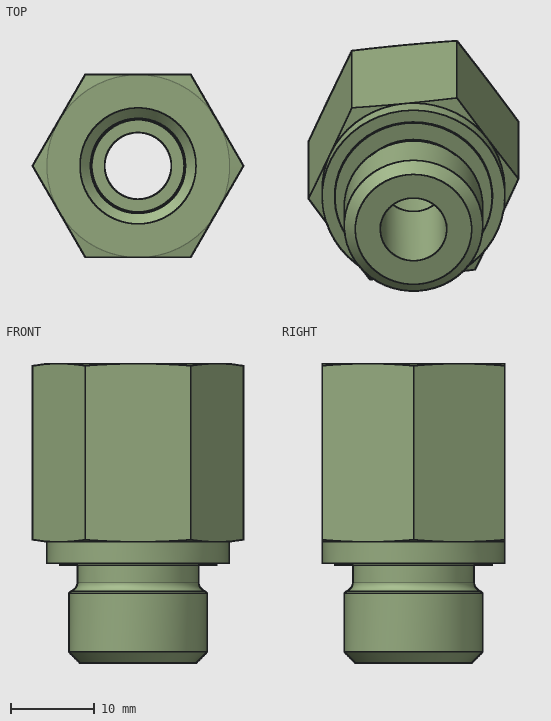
import cadquery as cq
import math

total_height = 36.0
across_flats = 22.0
across_corners = across_flats / math.cos(math.pi / 6)

end_chamfer = 1.35
spigot_top = 8.4
neck_bottom = 9.72
collar_bottom = 12.0
hex_bottom = 14.58

spigot_diameter = 16.65
end_diameter = spigot_diameter - 2 * end_chamfer
neck_diameter = 14.6

edge_cone = 0.25
relief_bottom = spigot_top + edge_cone
relief_height = neck_bottom - relief_bottom
relief_width = (spigot_diameter - neck_diameter) / 2 - edge_cone
relief_radius = (relief_width**2 + relief_height**2) / (2 * relief_width)

corner_drop = 0.25

through_diameter = 8.0
socket_diameter = 11.45
socket_floor_diameter = 11.1
socket_floor = 18.0
socket_floor_chamfer = (socket_diameter - socket_floor_diameter) / 2
mouth_diameter = 13.95
mouth_depth = (mouth_diameter - socket_diameter) / 2

groove_diameter = 19.0
groove_depth = 1.8
ring_outer_diameter = 18.9
ring_inner_diameter = 14.7
ring_projection = 0.2
groove_top = collar_bottom + groove_depth


def revolve_profile(profile):
    """Revolve a closed (radius, height) profile around the Z axis."""
    return profile.close().revolve(360, (0, 0, 0), (0, 1, 0))


def make_hexagon():
    """Hexagonal head with both ends chamfered by a shallow cone."""
    prism = (
        cq.Workplane("XY", origin=(0, 0, hex_bottom))
        .polygon(6, across_corners)
        .extrude(total_height - hex_bottom)
    )
    corner_envelope = revolve_profile(
        cq.Workplane("XZ")
        .moveTo(0, hex_bottom)
        .lineTo(across_flats / 2, hex_bottom)
        .lineTo(across_corners / 2, hex_bottom + corner_drop)
        .lineTo(across_corners / 2, total_height - corner_drop)
        .lineTo(across_flats / 2, total_height)
        .lineTo(0, total_height)
    )
    return prism.intersect(corner_envelope)


def make_spigot():
    """Chamfered spigot, relieved neck and collar below the hexagon."""
    neck_radius = neck_diameter / 2
    half_sweep = math.asin(relief_height / relief_radius) / 2
    arc_middle = (
        neck_radius + relief_radius * (1 - math.cos(half_sweep)),
        neck_bottom - relief_radius * math.sin(half_sweep),
    )
    return revolve_profile(
        cq.Workplane("XZ")
        .lineTo(end_diameter / 2, 0)
        .lineTo(spigot_diameter / 2, end_chamfer)
        .lineTo(spigot_diameter / 2, spigot_top)
        .lineTo(neck_radius + relief_width, relief_bottom)
        .threePointArc(arc_middle, (neck_radius, neck_bottom))
        .lineTo(neck_radius, collar_bottom)
        .lineTo(across_flats / 2, collar_bottom)
        .lineTo(across_flats / 2, hex_bottom)
        .lineTo(0, hex_bottom)
    )


def make_bore():
    """Through hole opening into a wider socket with a conical mouth."""
    return revolve_profile(
        cq.Workplane("XZ")
        .lineTo(through_diameter / 2, 0)
        .lineTo(through_diameter / 2, socket_floor)
        .lineTo(socket_floor_diameter / 2, socket_floor)
        .lineTo(socket_diameter / 2, socket_floor + socket_floor_chamfer)
        .lineTo(socket_diameter / 2, total_height - mouth_depth)
        .lineTo(mouth_diameter / 2, total_height)
        .lineTo(0, total_height)
    )


def make_annulus(outer_diameter, inner_diameter, bottom, top):
    """Flat-ended ring around the Z axis."""
    return (
        cq.Workplane("XY", origin=(0, 0, bottom))
        .circle(outer_diameter / 2)
        .circle(inner_diameter / 2)
        .extrude(top - bottom)
    )


def make_fitting():
    """Hexagonal fitting with its bore and sealing groove."""
    seal_groove = make_annulus(groove_diameter, neck_diameter, collar_bottom, groove_top)
    return make_hexagon().union(make_spigot()).cut(make_bore()).cut(seal_groove)


def make_seal_ring():
    """Sealing ring seated in the groove and standing slightly proud of it."""
    ring_bottom = collar_bottom - ring_projection
    return make_annulus(ring_outer_diameter, ring_inner_diameter, ring_bottom, groove_top)


fitting = make_fitting()
seal_ring = make_seal_ring()
result = cq.Compound.makeCompound([fitting.val(), seal_ring.val()])